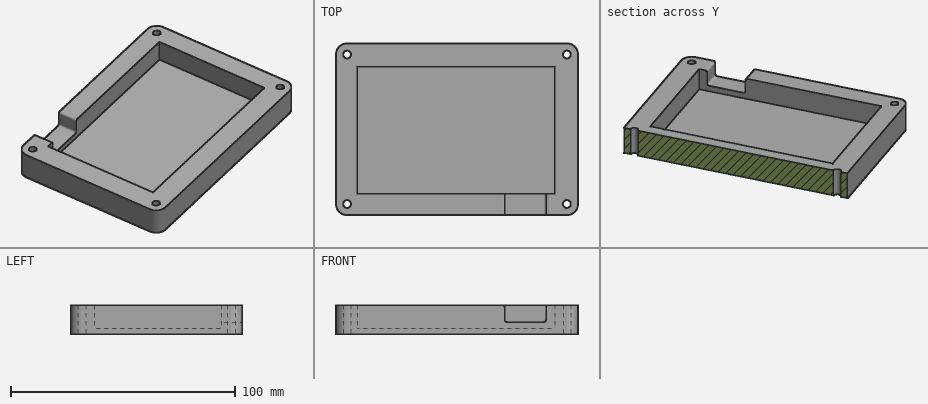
import cadquery as cq

length = 107.94
width = 76.6
height = 13.0
corner_radius = 5.0

hole_diameter = 3.4

pocket_length = 88.0
pocket_width = 56.65
wall_thickness = 9.5
floor_thickness = 2.7

notch_center_x = 30.44
notch_width = 18.45
notch_depth = 7.5
notch_radius = 1.0


def make_block():
    block = cq.Workplane("XY").box(length, width, height, centered=(True, True, False))
    return block.edges("|Z").fillet(corner_radius)


def make_screw_holes():
    hole_spacing_x = length - 2 * corner_radius
    hole_spacing_y = width - 2 * corner_radius
    return (
        cq.Workplane("XY")
        .rect(hole_spacing_x, hole_spacing_y, forConstruction=True)
        .vertices()
        .circle(hole_diameter / 2)
        .extrude(height)
    )


def make_pocket():
    corner_x = wall_thickness - length / 2
    corner_y = wall_thickness - width / 2
    return (
        cq.Workplane("XY", origin=(corner_x, corner_y, floor_thickness))
        .rect(pocket_length, pocket_width, centered=False)
        .extrude(height - floor_thickness)
    )


def make_notch():
    """Notch with rounded bottom corners and rims that flare out at the top face."""
    half_width = notch_width / 2
    half_floor = half_width - notch_radius
    half_mouth = half_width + notch_radius
    notch_floor = height - notch_depth
    rim_bottom = height - notch_radius
    outline = (
        cq.Workplane("XZ", origin=(notch_center_x, -width / 2, 0))
        .moveTo(-half_floor, notch_floor)
        .lineTo(half_floor, notch_floor)
        .radiusArc((half_width, notch_floor + notch_radius), -notch_radius)
        .lineTo(half_width, rim_bottom)
        .radiusArc((half_mouth, height), notch_radius)
        .lineTo(-half_mouth, height)
        .radiusArc((-half_width, rim_bottom), notch_radius)
        .lineTo(-half_width, notch_floor + notch_radius)
        .radiusArc((-half_floor, notch_floor), -notch_radius)
        .close()
    )
    return outline.extrude(-wall_thickness)


result = make_block().cut(make_screw_holes()).cut(make_pocket()).cut(make_notch())